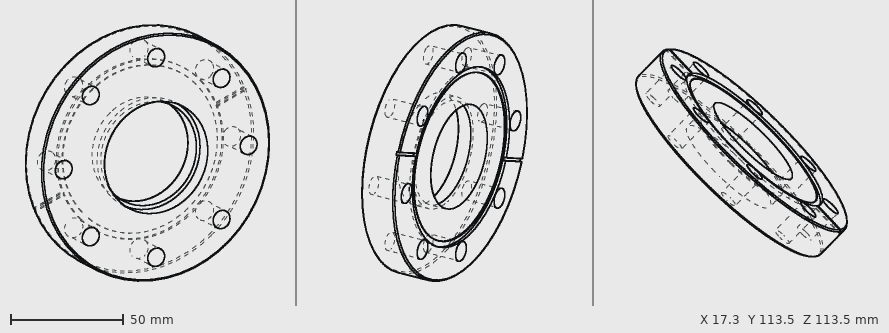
import cadquery as cq
import math

flange_dia = 113.54
flange_thickness = 17.27
rim_chamfer = 0.7

bore_dia = 47.8
bore_length = 9.6
socket_dia = 51.4

recess_dia = 82.5
recess_depth = 1.5
knife_dia = 77.3
knife_tip_depth = 0.6
center_face_depth = 1.0
knife_inner_angle = 20.0

bolt_count = 8
bolt_circle_dia = 92.1
bolt_hole_dia = 8.4
bolt_entry_dia = 9.1
bolt_taper_depth = 2.7

groove_width = 1.4
groove_depth = 1.3
groove_angle = 22.5

front_x = -flange_thickness / 2


def cylinder_along_x(start_x, diameter, length):
    """Solid cylinder on the X axis, growing toward +X from start_x."""
    return cq.Workplane("YZ", origin=(start_x, 0, 0)).circle(diameter / 2).extrude(length)


def make_body():
    disc = cylinder_along_x(front_x, flange_dia, flange_thickness).faces("<X or >X").chamfer(rim_chamfer)
    bore = cylinder_along_x(front_x, bore_dia, flange_thickness)
    socket = cylinder_along_x(front_x + bore_length, socket_dia, flange_thickness - bore_length)
    return disc.cut(bore).cut(socket)


def make_sealing_recess():
    """Revolved cutter that leaves the knife edge standing in the recess."""
    tip_x = front_x + knife_tip_depth
    floor_x = front_x + center_face_depth
    knife_base_radius = knife_dia / 2 - (floor_x - tip_x) * math.tan(math.radians(knife_inner_angle))
    profile = (
        cq.Workplane("XY")
        .moveTo(front_x, 0)
        .lineTo(front_x, recess_dia / 2)
        .lineTo(front_x + recess_depth, recess_dia / 2)
        .lineTo(tip_x, knife_dia / 2)
        .lineTo(floor_x, knife_base_radius)
        .lineTo(floor_x, 0)
        .close()
    )
    return profile.revolve(360, (0, 0, 0), (1, 0, 0))


def make_bolt_holes():
    hole = cylinder_along_x(front_x, bolt_hole_dia, flange_thickness)
    taper = (
        cq.Workplane("YZ", origin=(front_x, 0, 0))
        .circle(bolt_entry_dia / 2)
        .workplane(offset=bolt_taper_depth)
        .circle(bolt_hole_dia / 2)
        .loft(ruled=True)
    )
    hole = hole.union(taper).translate((0, bolt_circle_dia / 2, 0))
    holes = cq.Workplane("YZ")
    for index in range(bolt_count):
        holes = holes.add(hole.rotate((0, 0, 0), (1, 0, 0), index * 360 / bolt_count))
    return holes.combine()


def make_leak_grooves():
    """One bar across the face, kept outside the gasket recess."""
    bar = cq.Workplane("XY").box(groove_depth, flange_dia, groove_width)
    bar = bar.translate((front_x + groove_depth / 2, 0, 0))
    bar = bar.rotate((0, 0, 0), (1, 0, 0), groove_angle)
    return bar.cut(cylinder_along_x(front_x, recess_dia, groove_depth))


result = make_body().cut(make_sealing_recess()).cut(make_bolt_holes()).cut(make_leak_grooves())